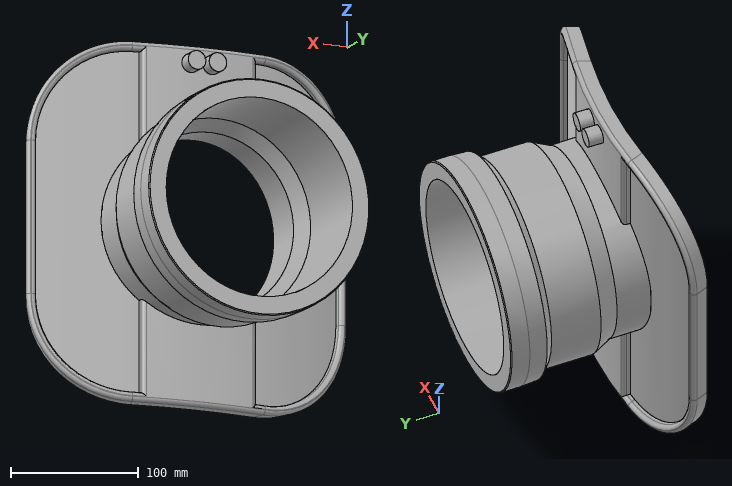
import cadquery as cq
import math

plate_height = 290.0
plate_thickness = 14.8
inner_radius = 359.5
outer_radius = inner_radius + plate_thickness
inner_half_width = 133.0
half_angle = math.asin(inner_half_width / inner_radius)
corner_radius = 83.2
edge_round = 3.5

pocket_depth = 6.5
pocket_floor_radius = outer_radius - pocket_depth
rim_width = 7.5
rim_angle = rim_width / outer_radius
band_half_width = 49.0

collar_diameter = 159.0
barrel_diameter = 175.0
socket_diameter = 190.0
socket_base_diameter = 188.2
collar_end = 29.0
barrel_start = 45.8
barrel_end = 88.0
socket_start = 94.2
socket_straight_start = 109.3
neck_end = 125.3
mouth_chamfer = 1.0

hole_diameter = 144.0
bore_diameter = 160.0
bore_taper_start = 31.0

pin_diameter = 15.0
pin_spacing = 18.0
pin_height = 130.5
pin_end = 26.7


def cylinder_patch(r_inside, r_outside, angle, height):
    """Ring sector centred on +Y, bounded by radial side faces and level ends."""
    def point(radius, a):
        return (radius * math.sin(a), radius * math.cos(a) - inner_radius)

    return (
        cq.Workplane("XY")
        .workplane(offset=-height / 2)
        .moveTo(*point(r_inside, -angle))
        .threePointArc(point(r_inside, 0), point(r_inside, angle))
        .lineTo(*point(r_outside, angle))
        .threePointArc(point(r_outside, 0), point(r_outside, -angle))
        .close()
        .extrude(height)
    )


def round_corners(patch, radius):
    """Round the four corners, along the radial edges of the level end faces."""
    return patch.faces("|Z").edges("%LINE").fillet(radius)


def revolve_about_y(points):
    return cq.Workplane("XY").polyline(points).close().revolve(360, (0, 0, 0), (0, 1, 0))


def cylinder_along_y(diameter, start, end, x, z):
    base = cq.Vector(x, start, z)
    solid = cq.Solid.makeCylinder(diameter / 2, end - start, base, cq.Vector(0, 1, 0))
    return cq.Workplane(obj=solid)


def on_back_surface(edge):
    """True for an edge that lies on the outer cylinder of the saddle."""
    samples = [edge.positionAt(t) for t in (0.1, 0.5, 0.9)]
    return all(
        math.isclose(math.hypot(p.x, p.y + inner_radius), outer_radius, abs_tol=0.05) for p in samples
    )


def round_back_edges(plate, radius):
    back_edges = [edge for edge in plate.edges().vals() if on_back_surface(edge)]
    return plate.newObject(back_edges).fillet(radius)


def make_plate():
    plate = round_corners(
        cylinder_patch(inner_radius, outer_radius, half_angle, plate_height), corner_radius
    )
    return round_back_edges(plate.cut(make_pockets()), edge_round)


def make_pockets():
    """Cutter for both pockets, leaving the rim and the full-thickness band."""
    recess = round_corners(
        cylinder_patch(
            pocket_floor_radius,
            outer_radius + pocket_depth,
            half_angle - rim_angle,
            plate_height - 2 * rim_width,
        ),
        corner_radius - rim_width,
    )
    band = cq.Workplane("XY").box(2 * band_half_width, 4 * plate_thickness, plate_height)
    return recess.cut(band)


def make_neck():
    return revolve_about_y([
        (0, 0),
        (collar_diameter / 2, 0),
        (collar_diameter / 2, collar_end),
        (barrel_diameter / 2, barrel_start),
        (barrel_diameter / 2, barrel_end),
        (socket_base_diameter / 2, socket_start),
        (socket_diameter / 2, socket_straight_start),
        (socket_diameter / 2, neck_end - mouth_chamfer),
        (socket_diameter / 2 - mouth_chamfer, neck_end),
        (0, neck_end),
    ])


def make_bore():
    return revolve_about_y([
        (0, -plate_thickness),
        (hole_diameter / 2, -plate_thickness),
        (hole_diameter / 2, bore_taper_start),
        (bore_diameter / 2, barrel_start),
        (bore_diameter / 2, neck_end),
        (0, neck_end),
    ])


def make_pins():
    pins = cq.Workplane("XY")
    for x in (-pin_spacing / 2, pin_spacing / 2):
        pins = pins.union(cylinder_along_y(pin_diameter, plate_thickness / 2, pin_end, x, pin_height))
    return pins


hollow = cq.Workplane("XY").center(0, -inner_radius).circle(inner_radius).extrude(plate_height / 2, both=True)
neck = make_neck().cut(hollow)

result = make_plate().union(neck).union(make_pins()).cut(make_bore())